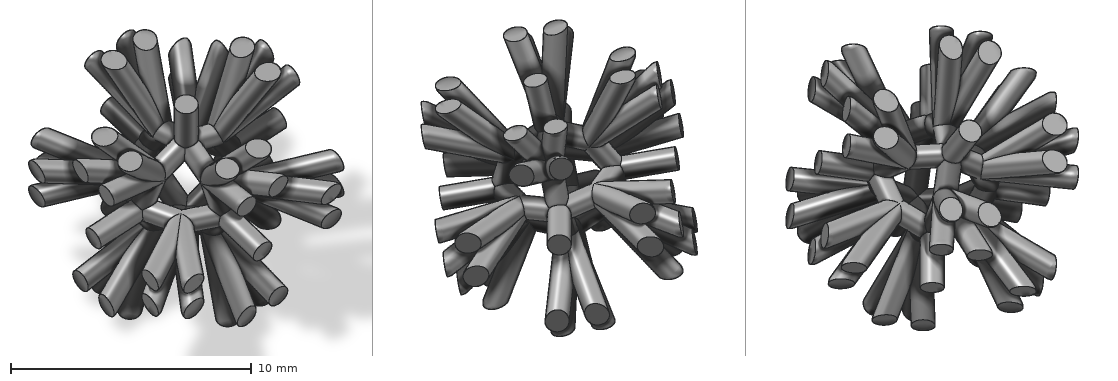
import cadquery as cq


CELL_SIZE = 10.0
STRUT_DIAMETER = 1.0
RING_AXIS_OFFSET = 2.44
RING_NODE_OFFSET = 1.65
TIP_REACH = 3.75
TIP_SPREAD = 0.86

half_cell = CELL_SIZE / 2
strut_radius = STRUT_DIAMETER / 2
SIGNS = (-1, 1)
AXES = range(3)


def place(axes, values):
    """Point with the given values along the given axes and zero elsewhere."""
    point = [0.0, 0.0, 0.0]
    for axis, value in zip(axes, values):
        point[axis] = value
    return cq.Vector(*point)


def rod(start, end):
    """Round strut from start to end."""
    span = end - start
    return cq.Solid.makeCylinder(strut_radius, span.Length, start, span)


def ball(center):
    """Sphere that rounds off the struts meeting at center."""
    return cq.Workplane("XY").sphere(strut_radius).val().moved(cq.Location(center))


def axial_struts():
    """Straight struts along the axes, from the cage to the face centers."""
    struts = []
    for axis in AXES:
        for sign in SIGNS:
            node = place([axis], [sign * RING_AXIS_OFFSET])
            struts += [rod(node, place([axis], [sign * half_cell])), ball(node)]
    return struts


def diagonal_node_struts(first, second, third, first_sign, second_sign):
    """Node between two axes: its two ring edges and its four outward struts."""
    node = place([first, second], [first_sign * RING_NODE_OFFSET, second_sign * RING_NODE_OFFSET])
    struts = [
        ball(node),
        rod(node, place([first], [first_sign * RING_AXIS_OFFSET])),
        rod(node, place([second], [second_sign * RING_AXIS_OFFSET])),
    ]
    for reach_first, reach_second in ((half_cell, TIP_REACH), (TIP_REACH, half_cell)):
        for third_sign in SIGNS:
            tip = place(
                [first, second, third],
                [first_sign * reach_first, second_sign * reach_second, third_sign * TIP_SPREAD],
            )
            struts += [rod(node, tip), ball(tip)]
    return struts


pieces = axial_struts()
for third_axis in AXES:
    first_axis = (third_axis + 1) % len(AXES)
    second_axis = (third_axis + 2) % len(AXES)
    for sign_a in SIGNS:
        for sign_b in SIGNS:
            pieces += diagonal_node_struts(first_axis, second_axis, third_axis, sign_a, sign_b)

lattice = pieces[0].fuse(*pieces[1:])

cell = cq.Workplane("XY").box(CELL_SIZE, CELL_SIZE, CELL_SIZE)
result = cq.Workplane("XY").newObject([lattice.intersect(cell.val()).Solids()[0]])